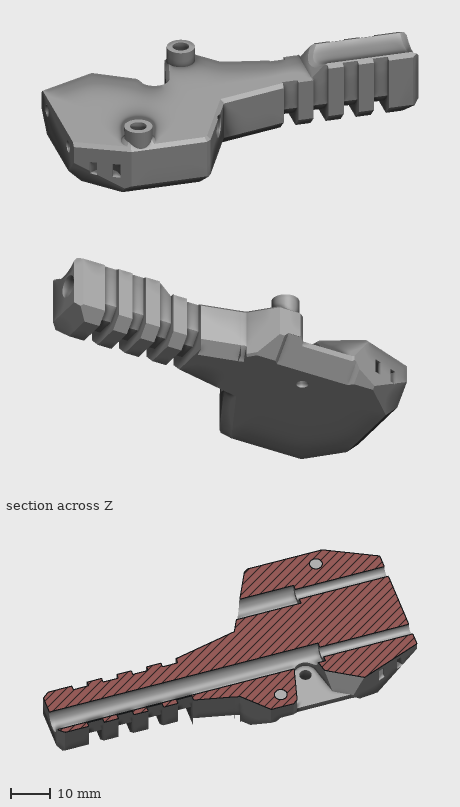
import cadquery as cq
import math


length = 96.35
top_z = 14.0
peg_top_z = 18.0
floor_z = 6.0

neck_y = 60.1
pitch = 8.0
slot_width = pitch / 2
slot_count = 4
tooth_half = 7.0
core_half = 5.8
rail_bevel = 3.0
slot_floor_z = 3.0
shoulder_z = 16.8
crest_z = 17.4
crest_half = 5.3
ramp_y = 67.9
rear_bevel = 3.9
corner_bevel_x = 1.5
corner_bevel_y = 1.8

trough_z = 15.5
trough_sag = crest_z - trough_z
trough_radius = (crest_half ** 2 + trough_sag ** 2) / (2 * trough_sag)
front_lip = 0.8
rear_lip = 1.8
rear_flare = 1.0

front_left_x = -7.5
front_right_x = 22.9
right_x = 29.5
left_x = -16.4
left_corner = (-15.1, 19.6)
ledge_x = -14.7
boss_corner_x = -15.3
neck_half = 7.2
top_chamfer = 1.0

bore_x = -5.0
bore_y = 29.2
bore_radius = 3.0
wall_angle = math.radians(14)
tangent_x = bore_x + bore_radius * math.sin(wall_angle)
facet_bottom_x = -12.3
facet_top_x = -5.3
facet_slope = math.radians(59)
facet_length = 15.4

front_bevel = 3.4
corner_z = 8.1
corner_run = 4.8
boss_bevel = 0.6
left_bevel_x = -11.5
recess_depth = 1.2
recess_front_y = 17.7
recess_rear_y = 40.8

screw_dia = 3.2
cross_hole_z = 10.3
head_bore_dia = 6.0
head_seat_y = 24.1
cross_hole_xs = (-2.4, 17.5)
peg_dia = 7.2
peg_bore_dia = 4.2
peg_bore_depth = 4.0
peg_pilot_depth = 7.7
left_peg = (-12.4, 38.3)
right_peg = (25.5, 16.4)
peg_root = 2.9
collar_height = 0.9

strap_outer_dia = 8.0
strap_inner_dia = 4.0
strap_z = 5.3
strap_height = 3.8
strap_left_y = 8.1
strap_right_y = 7.2

reach = 38.5


def wall_y(x, side):
    """Y of the pocket's upper (side = 1) or lower (side = -1) flared wall at a given X."""
    tangent_y = bore_radius * math.cos(wall_angle)
    return bore_y + side * (tangent_y + (tangent_x - x) * math.tan(wall_angle))


def lower_wall_y(x):
    return wall_y(x, -1)


right_side = [
    (front_right_x, 0),
    (right_x, 13.4),
    (right_x, 33.4),
    (28.6, 34.7),
    (11.0, 43.2),
    (neck_half, neck_y),
]
left_side = [
    (-neck_half, neck_y),
    (-9.5, 49.7),
    (-9.9, 48.4),
    (left_x, 42.2),
    (left_x, 36.1),
    (boss_corner_x, wall_y(boss_corner_x, 1)),
]


def lower_plan():
    points = [(front_left_x, 0)] + right_side + left_side
    points += [(ledge_x, wall_y(ledge_x, 1)), (ledge_x, left_corner[1] + 0.6), left_corner]
    return cq.Workplane("XY").polyline(points).close()


def upper_plan(base_z):
    """Body outline with the pocket and its round end opening to the left."""
    return (
        cq.Workplane("XY", origin=(0, 0, base_z))
        .polyline([(front_left_x, 0)] + right_side + left_side + [(tangent_x, wall_y(tangent_x, 1))])
        .threePointArc((bore_x + bore_radius, bore_y), (tangent_x, lower_wall_y(tangent_x)))
        .lineTo(left_corner[0], lower_wall_y(left_corner[0]))
        .lineTo(*left_corner)
        .close()
    )


def rail():
    """Toothed rail with a ramp at the front and a beveled rear end."""
    rail_length = length - neck_y
    half_section = [
        (0, 0),
        (tooth_half - rail_bevel, 0),
        (tooth_half, rail_bevel),
        (tooth_half, shoulder_z),
        (crest_half, crest_z),
        (0, crest_z),
    ]
    body = (
        cq.Workplane("XZ", origin=(0, length, 0))
        .polyline(half_section).close().extrude(rail_length)
    )
    corner = (
        cq.Workplane("XY")
        .polyline([
            (tooth_half - corner_bevel_x, length),
            (tooth_half, length - corner_bevel_y),
            (tooth_half, length),
        ])
        .close().extrude(crest_z)
    )
    body = body.cut(corner)
    slot_section = [
        (0, 0),
        (tooth_half, 0),
        (tooth_half, crest_z),
        (core_half, crest_z),
        (core_half, slot_floor_z + rail_bevel),
        (core_half - rail_bevel, slot_floor_z),
        (0, slot_floor_z),
    ]
    for i in range(slot_count):
        slot = (
            cq.Workplane("XZ", origin=(0, neck_y + i * pitch + slot_width, 0))
            .polyline(slot_section).close().extrude(slot_width)
        )
        body = body.cut(slot)
    body = body.union(body.mirror("YZ"))
    side_profile = (
        cq.Workplane("YZ", origin=(-tooth_half, 0, 0))
        .polyline([
            (neck_y, 0),
            (length - rear_bevel, 0),
            (length, rear_bevel),
            (length, crest_z),
            (ramp_y + crest_z - top_z, crest_z),
            (ramp_y, top_z),
            (neck_y, top_z),
        ])
        .close().extrude(2 * tooth_half)
    )
    body = body.intersect(side_profile).cut(trough())
    ramp_edge = cq.selectors.BoxSelector((-0.5, ramp_y + 0.5, trough_z - 0.5), (0.5, ramp_y + 2.9, trough_z + 1.9))
    return body.edges(ramp_edge).chamfer(front_lip)


def trough():
    """Round groove that flares at the rear end."""
    profile = [
        (0, neck_y),
        (trough_radius, neck_y),
        (trough_radius, length - rear_lip),
        (trough_radius + rear_flare, length),
        (0, length),
    ]
    axis_z = trough_z + trough_radius
    return (
        cq.Workplane("XY", origin=(0, 0, axis_z))
        .polyline(profile).close()
        .revolve(360, (0, 0, 0), (0, 1, 0))
    )


def facet():
    """Wedge that slopes the pocket's lower wall down to the ledge."""
    run = (-facet_length * math.cos(facet_slope), -facet_length * math.sin(facet_slope))

    def section(inner_x):
        points = [(inner_x, lower_wall_y(inner_x)), (-reach, lower_wall_y(-reach))]
        return points + [(x + run[0], y + run[1]) for x, y in reversed(points)]

    return (
        cq.Workplane("XY", origin=(0, 0, floor_z))
        .polyline(section(facet_bottom_x)).close()
        .workplane(offset=top_z - floor_z)
        .polyline(section(facet_top_x)).close()
        .loft(ruled=True)
    )


def front_corner(side, x):
    """Tetrahedron that bevels a lower front corner; its face rises outward from X = x."""
    slope = (corner_z - front_bevel) / corner_run
    x_span = reach
    z_span = front_bevel + slope * x_span
    outer_x = x + side * x_span
    apex = cq.Vector(x - side * front_bevel / slope, 0, 0)
    corners = [apex, cq.Vector(outer_x, 0, 0), cq.Vector(outer_x, z_span, 0), cq.Vector(outer_x, 0, z_span)]
    faces = []
    for skip in range(4):
        triangle = [c for i, c in enumerate(corners) if i != skip]
        faces.append(cq.Face.makeFromWires(cq.Wire.makePolygon(triangle, close=True)))
    return cq.Workplane(cq.Solid.makeSolid(cq.Shell.makeShell(faces)))


def left_edge_bevel(start, end, size):
    """45 degree bevel under one straight edge of the left side, listed rear to front."""
    along = cq.Vector(end[0] - start[0], end[1] - start[1], 0)
    inward = cq.Vector(-along.y, along.x, 0)
    plane = cq.Plane(origin=(*start, 0), xDir=inward, normal=along)
    triangle = [(0, 0), (size, 0), (0, size)]
    return cq.Workplane(plane).polyline(triangle).close().extrude(along.Length)


def left_bevel():
    """45 degree bevel under the left side, set deeper below the pocket ledge."""
    bevel = (
        cq.Workplane("XZ", origin=(0, neck_y, 0))
        .polyline([(left_bevel_x, 0), (left_bevel_x - reach, 0), (left_bevel_x - reach, reach)])
        .close().extrude(neck_y)
    )
    recess_plan = cq.Wire.makePolygon([
        cq.Vector(left_bevel_x, recess_front_y, 0),
        cq.Vector(left_bevel_x + recess_depth, recess_front_y + recess_depth, 0),
        cq.Vector(left_bevel_x + recess_depth, recess_rear_y - recess_depth, 0),
        cq.Vector(left_bevel_x, recess_rear_y, 0),
    ], close=True)
    slant = cq.Vector(-floor_z, 0, floor_z)
    return bevel.union(cq.Workplane(cq.Solid.extrudeLinear(recess_plan, [], slant)))


def right_bevel():
    inner_x = right_x - rail_bevel
    return (
        cq.Workplane("XZ", origin=(0, neck_y, 0))
        .polyline([(inner_x, 0), (inner_x + reach, 0), (inner_x + reach, reach)])
        .close().extrude(neck_y)
    )


def front_edge_bevel():
    return (
        cq.Workplane("YZ", origin=(-reach, 0, 0))
        .polyline([(0, 0), (front_bevel, 0), (0, front_bevel)])
        .close().extrude(2 * reach)
    )


def strap_channel(x, y):
    return (
        cq.Workplane("XY", origin=(x, y, strap_z))
        .circle(strap_outer_dia / 2).circle(strap_inner_dia / 2)
        .extrude(strap_height)
    )


def wall_x(start, end, y):
    return start[0] + (end[0] - start[0]) * (y - start[1]) / (end[1] - start[1])


upper = upper_plan(floor_z).extrude(top_z + collar_height - floor_z)
upper = upper.edges(">Z").edges("not(<Y or >Y)").chamfer(top_chamfer + collar_height)
collar = (
    cq.Workplane("XY", origin=(*right_peg, top_z))
    .circle(peg_dia / 2 + collar_height)
    .workplane(offset=collar_height)
    .circle(peg_dia / 2)
    .loft()
    .intersect(upper)
)
upper = upper.intersect(cq.Workplane("XY").box(192.7, 192.7, 2 * top_z))

lower = lower_plan().extrude(floor_z)
right_neck = cq.selectors.BoxSelector((0, 48.2, -0.1), (10.6, neck_y - 0.1, 0.1))
right_shoulder = cq.selectors.BoxSelector((14.5, 35.65, -0.1), (24.1, neck_y, 0.1))
lower = lower.edges(right_neck + right_shoulder).chamfer(rail_bevel)

body = lower.union(upper).cut(facet())
body = body.cut(left_bevel()).cut(right_bevel()).cut(front_edge_bevel())
left_bevel_sizes = (rail_bevel, rail_bevel, boss_bevel)
for start, end, size in zip(left_side, left_side[1:], left_bevel_sizes):
    body = body.cut(left_edge_bevel(start, end, size))
body = body.cut(front_corner(-1, -2.5)).cut(front_corner(1, 17.8))
body = body.union(rail()).union(collar)

left_wall_x = wall_x((front_left_x, 0), left_corner, strap_left_y)
right_wall_x = wall_x(right_side[0], right_side[1], strap_right_y)
body = body.cut(strap_channel(left_wall_x, strap_left_y))
body = body.cut(strap_channel(right_wall_x, strap_right_y))
for x in cross_hole_xs:
    rear = cq.Workplane("XZ", origin=(x, length, cross_hole_z))
    body = body.cut(rear.circle(screw_dia / 2).extrude(length))
    body = body.cut(rear.circle(head_bore_dia / 2).extrude(length - head_seat_y))
body = body.cut(cq.Workplane("XY").center(bore_x, bore_y).circle(screw_dia / 2).extrude(floor_z))

for x, y in (left_peg, right_peg):
    top = cq.Workplane("XY", origin=(x, y, peg_top_z))
    body = body.union(top.circle(peg_dia / 2).extrude(-(peg_top_z - top_z + peg_root)))
    body = body.cut(top.circle(peg_bore_dia / 2).extrude(-peg_bore_depth))
    body = body.cut(top.circle(screw_dia / 2).extrude(-peg_pilot_depth))

result = body